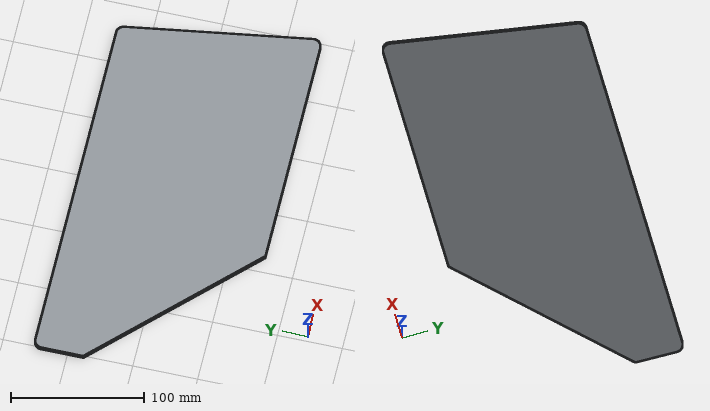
import cadquery as cq
import math

length = 303.2
width = 152.5
thickness = 3.0

corner_radius = 6.0
cut_size = 114.0
slant_angle = math.radians(8.8)

sharp_overhang = corner_radius * (1 / math.cos(slant_angle) + math.tan(slant_angle) - 1)
lower_right_x = length + sharp_overhang
upper_right_x = lower_right_x - width * math.tan(slant_angle)

outline = [
    (cut_size, 0),
    (lower_right_x, 0),
    (upper_right_x, width),
    (0, width),
    (0, cut_size),
]
plate = cq.Workplane("XY").polyline(outline).close().extrude(thickness)

result = plate.edges("|Z and (>Y or >X)").fillet(corner_radius)